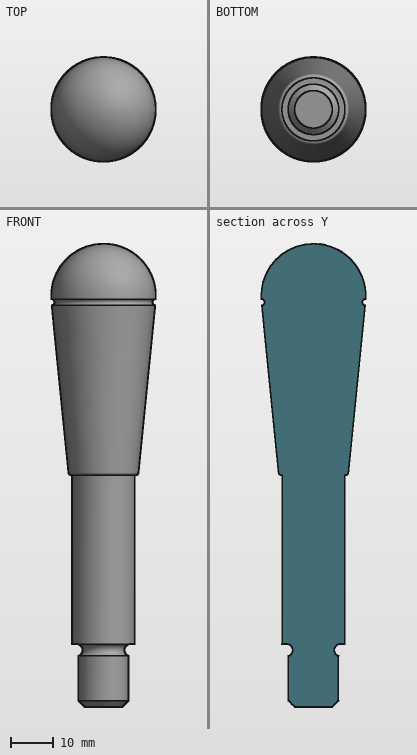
import cadquery as cq
import math

total_length = 110.0
dome_radius = 25.0 / 2
dome_center_z = total_length - dome_radius

groove_top_z = 96.8
groove_bottom_z = 95.4
groove_depth = 0.7
groove_top_radius = math.sqrt(dome_radius**2 - (dome_center_z - groove_top_z)**2)

grip_bottom_z = 55.0
grip_top_radius = 12.3
grip_bottom_radius = 8.4
grip_edge_round = 0.8

shank_radius = 15.0 / 2
shank_bottom_z = 15.0

thread_radius = 12.0 / 2
tip_chamfer = 1.5
tip_radius = thread_radius - tip_chamfer

neck_radius = 10.0 / 2
neck_round = 1.4
neck_center_z = shank_bottom_z - neck_round
neck_arc_r = neck_radius + neck_round
neck_lower_height = math.sqrt(neck_round**2 - (neck_arc_r - thread_radius)**2)
thread_top_z = neck_center_z - neck_lower_height


def arc_middle(center_r, center_z, radius, angle):
    """Point on a profile arc, with the angle in degrees from outward radial."""
    turn = math.radians(angle)
    return center_r + radius * math.cos(turn), center_z + radius * math.sin(turn)


neck_middle = (neck_radius, neck_center_z)
grip_edge_r = grip_bottom_radius - grip_edge_round
grip_edge_z = grip_bottom_z + grip_edge_round
grip_edge_middle = arc_middle(grip_edge_r, grip_edge_z, grip_edge_round, -45)
groove_middle = (grip_top_radius - groove_depth, (groove_top_z + groove_bottom_z) / 2)
dome_middle = arc_middle(0, dome_center_z, dome_radius, 45)

profile = (
    cq.Workplane("XZ")
    .moveTo(0, 0)
    .lineTo(tip_radius, 0)
    .lineTo(thread_radius, tip_chamfer)
    .lineTo(thread_radius, thread_top_z)
    .threePointArc(neck_middle, (neck_arc_r, shank_bottom_z))
    .lineTo(shank_radius, shank_bottom_z)
    .lineTo(shank_radius, grip_bottom_z)
    .lineTo(grip_edge_r, grip_bottom_z)
    .threePointArc(grip_edge_middle, (grip_bottom_radius, grip_edge_z))
    .lineTo(grip_top_radius, groove_bottom_z)
    .threePointArc(groove_middle, (groove_top_radius, groove_top_z))
    .threePointArc(dome_middle, (0, total_length))
    .close()
)

result = profile.revolve(360, (0, 0, 0), (0, 1, 0))